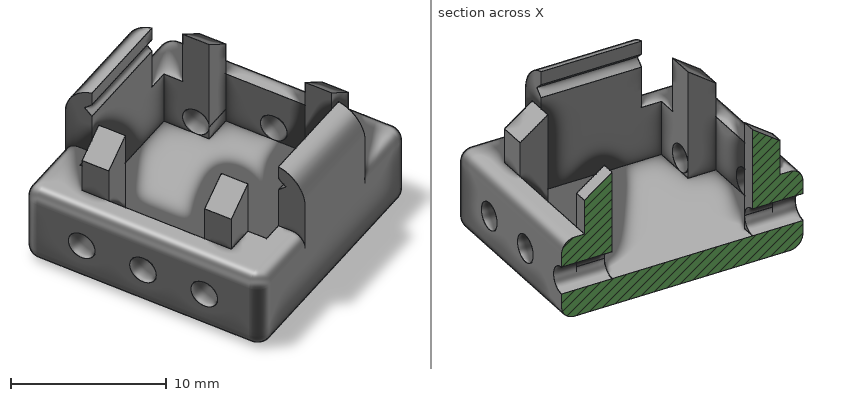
import cadquery as cq
import math

side = 18.0
half_side = side / 2
body_height = 6.0
edge_radius = 1.0
floor_thickness = 2.0

pocket_half_x = 7.0
pocket_half_y = 5.22
arm_half_x = 5.6
arm_half_y = 7.29

post_width = 2.0
post_peak = 10.0
post_shoulder = 8.53

total_height = 11.0
tab_width = 7.49
tab_nose_radius = 2.5
notch_depth = 0.54
notch_top = 10.0
notch_bottom = 9.04

hole_diameter = 2.0
hole_height = floor_thickness + hole_diameter / 2
hole_pitch = arm_half_x - post_width / 2


def box_on_floor(half_x, half_y):
    """Block from the pocket floor up to the rim."""
    depth = body_height - floor_thickness
    return (
        cq.Workplane("XY")
        .workplane(offset=floor_thickness)
        .rect(2 * half_x, 2 * half_y)
        .extrude(depth)
    )


def make_tray():
    tray = (
        cq.Workplane("XY")
        .rect(side, side)
        .extrude(body_height)
        .edges()
        .fillet(edge_radius)
    )
    tray = tray.cut(box_on_floor(pocket_half_x, pocket_half_y))
    return tray.cut(box_on_floor(arm_half_x, arm_half_y))


def make_post():
    """Post in the +X, +Y corner of the pocket."""
    return (
        cq.Workplane("YZ")
        .workplane(offset=arm_half_x - post_width)
        .moveTo(pocket_half_y, floor_thickness)
        .lineTo(arm_half_y, floor_thickness)
        .lineTo(arm_half_y, post_shoulder)
        .lineTo(pocket_half_y, post_peak)
        .close()
        .extrude(post_width)
    )


def make_tab():
    """Clip tab on the +X side, with a rounded outer nose and a V notch inside."""
    nose_center_x = half_side - tab_nose_radius
    nose_rise = math.sqrt(tab_nose_radius**2 - (pocket_half_x - nose_center_x) ** 2)
    nose_start = total_height - nose_rise
    nose_half_angle = math.atan2(nose_rise, pocket_half_x - nose_center_x) / 2
    nose_mid = (
        nose_center_x + tab_nose_radius * math.cos(nose_half_angle),
        nose_start + tab_nose_radius * math.sin(nose_half_angle),
    )
    return (
        cq.Workplane("XZ")
        .moveTo(pocket_half_x, floor_thickness)
        .lineTo(half_side, floor_thickness)
        .lineTo(half_side, nose_start)
        .threePointArc(nose_mid, (pocket_half_x, total_height))
        .lineTo(pocket_half_x, notch_top)
        .lineTo(pocket_half_x + notch_depth, (notch_top + notch_bottom) / 2)
        .lineTo(pocket_half_x, notch_bottom)
        .close()
        .extrude(tab_width / 2, both=True)
    )


def make_holes():
    return (
        cq.Workplane("XZ")
        .pushPoints([(step * hole_pitch, hole_height) for step in (-1, 0, 1)])
        .circle(hole_diameter / 2)
        .extrude(side, both=True)
    )


result = make_tray()

tab = make_tab()
result = result.union(tab).union(tab.mirror("YZ"))

post = make_post()
post_pair = post.union(post.mirror("YZ"))
result = result.union(post_pair).union(post_pair.mirror("XZ"))

result = result.cut(make_holes())